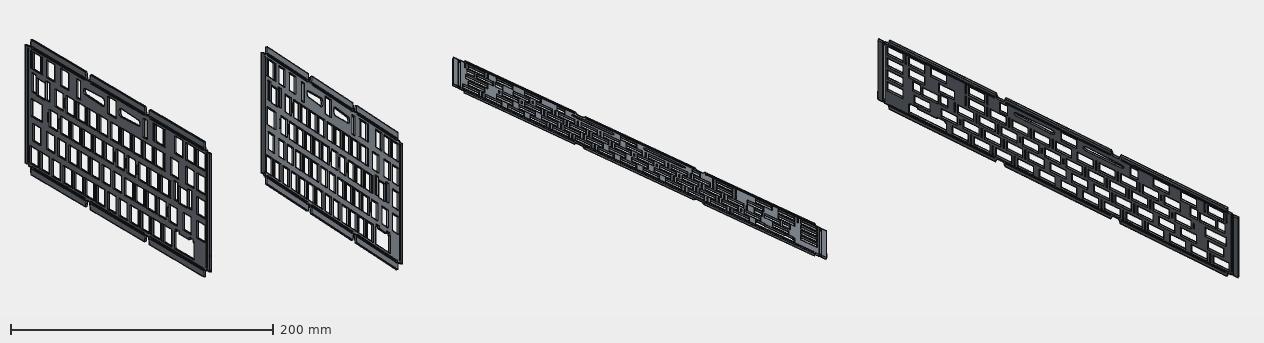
import cadquery as cq
import math

THICKNESS = 1.5
PLATE_LENGTH = 315.55
PLATE_HEIGHT = 107.7
SIDE_FLANGE_HEIGHT = 94.4
TAB_LENGTH = 0.2
TAB_TOP = -34.4
TAB_BOTTOM = -45.8

TOP_EDGE_LENGTH = 296.0
TOP_FLANGE_LEAN = 0.4
FLOOR_LEVEL = 48.0
CORNER_FLOOR_END = 151.7
DIP_LEVEL = 46.7
DIP_START = 152.4
DIP_END = 153.6
FLANGE_CORNER = 154.0

NOTCH_OFFSET = 50.5
NOTCH_TOP_WIDTH = 8.4
NOTCH_BOTTOM_WIDTH = 5.6
NOTCH_RADIUS = 1.0

RELIEF_WIDTH = 1.9
END_RELIEF_LENGTH = 91.4
MIDDLE_RELIEF_LENGTH = 91.6
END_RELIEF_OFFSET = 101.2
LONG_RELIEF_LEVEL = 48.0
SIDE_RELIEF_OFFSET = 152.6
SIDE_RELIEF_LENGTH = 90.8

UNIT = 19.05
GRID_UNITS = 16
SWITCH = 14.0
STEPPED_SHIFT = UNIT / 4
FLEX_WIDTH = 1.0
LONG_FLEX = 14.0
SHORT_FLEX = 7.2
OPENING_RADIUS = 0.5

STABILIZER_WIDTH = 6.75
STABILIZER_HEIGHT = 15.2
STABILIZER_SHIFT = 1.4
SHORT_STABILIZER_SPREAD = 11.9
SPACE_STABILIZER_SPREAD = 3 * UNIT

WINDOW_SPREAD = 30.2
WINDOW_LENGTH = 35.6
WINDOW_SMALL_RADIUS = 2.4
WINDOW_LARGE_RADIUS = 3.4

SPACE_ROW, SHIFT_ROW, HOME_ROW, TAB_ROW, NUMBER_ROW = 2, 1, 0, -1, -2
SPACE_KEY = 7.5
LEFT_SHIFT_KEY = 1.125
CAPS_KEY = 0.75
ENTER_KEY = 13.875
BACKSPACE_KEY = 14.0


def run(first, count):
    """Places of neighbouring keys or flex slots, one unit apart."""
    return [first + i for i in range(count)]


SWITCH_PLACES = {
    SPACE_ROW: [0.75, 2, 3.25, SPACE_KEY, 11.75] + run(13.5, 3),
    SHIFT_ROW: [LEFT_SHIFT_KEY] + run(2.75, 10) + [13.125, 14.5, 15.5],
    HOME_ROW: run(2.25, 11) + [ENTER_KEY, 15.5],
    TAB_ROW: [0.75] + run(2, 12) + [14.25, 15.5],
    NUMBER_ROW: run(0.5, 13),
}
LONG_FLEX_PLACES = {
    SPACE_ROW: [0.25, 1.25, 11.25, 12.25, 15],
    SHIFT_ROW: run(4.25, 3) + run(8.25, 5),
    HOME_ROW: run(3.75, 4) + run(10.75, 3),
    TAB_ROW: run(4.5, 2) + run(9.5, 3),
    NUMBER_ROW: [1] + run(4, 3) + run(10, 3),
}
SHORT_FLEX_PLACES = {
    SHIFT_ROW: [3.25],
    HOME_ROW: run(1.75, 2) + run(7.75, 3),
    TAB_ROW: [12.5],
}


def key_x(place):
    return (place - GRID_UNITS / 2) * UNIT


def row_z(row):
    return row * UNIT


def grid_points(places):
    return [(key_x(place), row_z(row)) for row in places for place in places[row]]


def face():
    """Workplane on the middle of the thickness, with local axes along X and Z."""
    return cq.Workplane("XZ")


def cutter(sketch):
    return sketch.extrude(THICKNESS, both=True)


def cut_rectangles(plate, points, width, height):
    return plate.cut(cutter(face().pushPoints(points).rect(width, height)))


def cut_openings(plate, points, width, height):
    """Rectangles with rounded corners."""
    opening = cq.Sketch().rect(width, height).vertices().fillet(OPENING_RADIUS)
    return plate.cut(cutter(face().pushPoints(points).placeSketch(opening)))


def corner_points():
    """Outline of the upper right quarter, from the top edge down to the side edge."""
    top = PLATE_HEIGHT / 2
    flange_end = TOP_EDGE_LENGTH / 2
    shoulder = SIDE_FLANGE_HEIGHT / 2
    return [
        (flange_end, top),
        (flange_end + TOP_FLANGE_LEAN, FLOOR_LEVEL),
        (CORNER_FLOOR_END, FLOOR_LEVEL),
        (DIP_START, DIP_LEVEL),
        (DIP_END, DIP_LEVEL),
        (FLANGE_CORNER, shoulder),
        (PLATE_LENGTH / 2, shoulder),
    ]


def make_blank():
    right = PLATE_LENGTH / 2
    upper_right = corner_points()
    lower_right = [(x, -z) for x, z in reversed(upper_right)]
    lower_left = [(-x, -z) for x, z in upper_right]
    upper_left = [(-x, z) for x, z in reversed(upper_right)]
    blank = (
        face()
        .polyline(upper_right + lower_right + lower_left + upper_left)
        .close()
        .extrude(THICKNESS / 2, both=True)
    )
    tab = (
        face()
        .center(right, (TAB_TOP + TAB_BOTTOM) / 2)
        .rect(2 * TAB_LENGTH, TAB_TOP - TAB_BOTTOM)
        .extrude(THICKNESS / 2, both=True)
    )
    return blank.union(tab)


def cut_notches(plate):
    top = PLATE_HEIGHT / 2
    for centre in (-NOTCH_OFFSET, NOTCH_OFFSET):
        notch = cutter(
            face()
            .polyline([
                (centre - NOTCH_TOP_WIDTH / 2, top), (centre + NOTCH_TOP_WIDTH / 2, top),
                (centre + NOTCH_BOTTOM_WIDTH / 2, FLOOR_LEVEL),
                (centre - NOTCH_BOTTOM_WIDTH / 2, FLOOR_LEVEL),
            ])
            .close()
        ).edges("|Y and <Z").fillet(NOTCH_RADIUS)
        plate = plate.cut(notch).cut(notch.mirror("XY"))
    return plate


def cut_reliefs(plate):
    for level in (-LONG_RELIEF_LEVEL, LONG_RELIEF_LEVEL):
        ends = [(-END_RELIEF_OFFSET, level), (END_RELIEF_OFFSET, level)]
        plate = cut_openings(plate, ends, END_RELIEF_LENGTH, RELIEF_WIDTH)
        plate = cut_openings(plate, [(0, level)], MIDDLE_RELIEF_LENGTH, RELIEF_WIDTH)
    sides = [(-SIDE_RELIEF_OFFSET, 0), (SIDE_RELIEF_OFFSET, 0)]
    return cut_openings(plate, sides, RELIEF_WIDTH, SIDE_RELIEF_LENGTH)


def cut_switches(plate):
    plate = cut_openings(plate, grid_points(SWITCH_PLACES), SWITCH, SWITCH)
    caps = [(key_x(CAPS_KEY), row_z(HOME_ROW))]
    plate = cut_openings(plate, caps, SWITCH + STEPPED_SHIFT, SWITCH)
    backspace = [(key_x(BACKSPACE_KEY), row_z(NUMBER_ROW))]
    return cut_openings(plate, backspace, SWITCH + UNIT, SWITCH)


def cut_flex_slots(plate):
    plate = cut_rectangles(plate, grid_points(LONG_FLEX_PLACES), FLEX_WIDTH, LONG_FLEX)
    return cut_rectangles(plate, grid_points(SHORT_FLEX_PLACES), FLEX_WIDTH, SHORT_FLEX)


def cut_stabilizers(plate):
    stabilizers = [
        (SPACE_KEY, SPACE_ROW, SPACE_STABILIZER_SPREAD, -STABILIZER_SHIFT),
        (LEFT_SHIFT_KEY, SHIFT_ROW, SHORT_STABILIZER_SPREAD, STABILIZER_SHIFT),
        (ENTER_KEY, HOME_ROW, SHORT_STABILIZER_SPREAD, STABILIZER_SHIFT),
        (BACKSPACE_KEY, NUMBER_ROW, SHORT_STABILIZER_SPREAD, STABILIZER_SHIFT),
    ]
    for key, row, spread, shift in stabilizers:
        pair = [(key_x(key) + side * spread, row_z(row) + shift) for side in (-1, 1)]
        plate = cut_openings(plate, pair, STABILIZER_WIDTH, STABILIZER_HEIGHT)
    return plate


def cut_windows(plate):
    """Two slots with round ends, each narrowing away from the space bar switch."""
    run_length = WINDOW_LENGTH - WINDOW_SMALL_RADIUS - WINDOW_LARGE_RADIUS
    lean = math.asin((WINDOW_LARGE_RADIUS - WINDOW_SMALL_RADIUS) / run_length)
    for side in (-1, 1):
        middle = key_x(SPACE_KEY) + side * WINDOW_SPREAD
        large_x = middle - side * (WINDOW_LENGTH / 2 - WINDOW_LARGE_RADIUS)
        small_x = middle + side * (WINDOW_LENGTH / 2 - WINDOW_SMALL_RADIUS)
        large_touch = (large_x + side * WINDOW_LARGE_RADIUS * math.sin(lean),
                       WINDOW_LARGE_RADIUS * math.cos(lean))
        small_touch = (small_x + side * WINDOW_SMALL_RADIUS * math.sin(lean),
                       WINDOW_SMALL_RADIUS * math.cos(lean))
        window = (
            face()
            .center(0, row_z(SPACE_ROW))
            .moveTo(*large_touch)
            .lineTo(*small_touch)
            .threePointArc((small_x + side * WINDOW_SMALL_RADIUS, 0), (small_touch[0], -small_touch[1]))
            .lineTo(large_touch[0], -large_touch[1])
            .threePointArc((large_x - side * WINDOW_LARGE_RADIUS, 0), large_touch)
            .close()
        )
        plate = plate.cut(cutter(window))
    return plate


result = make_blank()
result = cut_notches(result)
result = cut_reliefs(result)
result = cut_switches(result)
result = cut_flex_slots(result)
result = cut_stabilizers(result)
result = cut_windows(result)